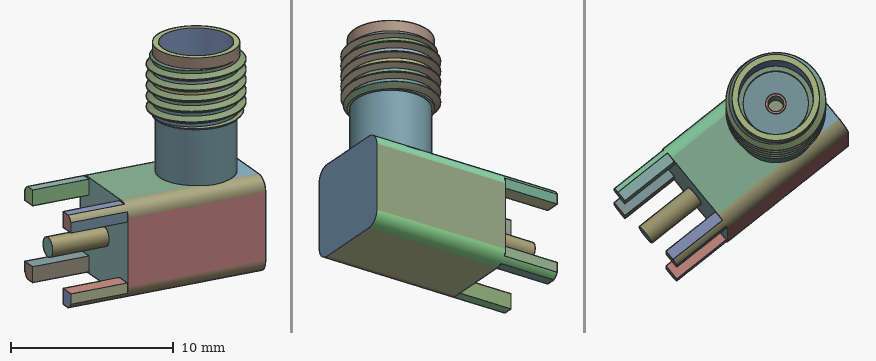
import cadquery as cq

housing_side = 6.35
housing_length = 9.55
corner_radius = 0.89
back_y = housing_side / 2
front_y = back_y - housing_length

overall_depth = 13.46
pin_length = overall_depth - housing_length
leg_side = 1.05
leg_inset = 0.1
solder_pin_diameter = 1.3

barrel_top = 14.86
neck_diameter = 5.05
barrel_diameter = 5.38
thread_bottom = 10.1
thread_top = 14.13

thread_diameter = 6.15
thread_pitch = 0.703
thread_root_width = 0.5
thread_crest_width = 0.06
thread_overlap = 0.06
thread_turns = 7.4
envelope_margin = 0.07
helix_start = 9.4

bore_diameter = 4.62
bore_depth = 1.95
insulator_diameter = 4.01
insulator_recess = 0.2
contact_diameter = 1.26
contact_recess = 0.07
contact_hole_diameter = 0.98
contact_hole_depth = 1.49


def cylinder(diameter, bottom, top):
    """Cylinder on the barrel axis between two heights."""
    return cq.Workplane("XY").workplane(offset=bottom).circle(diameter / 2).extrude(top - bottom)


def rounded_bar(start_y, length):
    """Square bar with rounded long edges, running from start_y toward -Y."""
    return (
        cq.Workplane("XZ", origin=(0, start_y, housing_side / 2))
        .rect(housing_side, housing_side)
        .extrude(length)
        .edges("|Y")
        .fillet(corner_radius)
    )


def make_pins():
    """Four corner legs trimmed by the housing rounding, and the round solder pin."""
    face = cq.Workplane("XZ", origin=(0, front_y, housing_side / 2))
    spacing = housing_side - 2 * leg_inset - leg_side
    legs = (
        face.rect(spacing, spacing, forConstruction=True)
        .vertices()
        .rect(leg_side, leg_side)
        .extrude(pin_length)
        .intersect(rounded_bar(front_y, pin_length))
    )
    solder_pin = face.circle(solder_pin_diameter / 2).extrude(pin_length)
    return legs, solder_pin


def make_thread():
    """Helical ridge, chamfered at 45 degrees at both ends of the threaded range."""
    root_radius = barrel_diameter / 2
    crest_radius = thread_diameter / 2
    foot_radius = root_radius - thread_overlap
    flank_run = (thread_root_width - thread_crest_width) / 2
    flank_slope = flank_run / (crest_radius - root_radius)
    half_foot = thread_root_width / 2 + flank_slope * thread_overlap
    half_crest = thread_crest_width / 2

    path = cq.Wire.makeHelix(
        thread_pitch, thread_turns * thread_pitch, root_radius, center=cq.Vector(0, 0, helix_start)
    )
    ridge = (
        cq.Workplane("XZ", origin=(0, 0, helix_start))
        .moveTo(foot_radius, -half_foot)
        .lineTo(crest_radius, -half_crest)
        .lineTo(crest_radius, half_crest)
        .lineTo(foot_radius, half_foot)
        .close()
        .sweep(cq.Workplane(obj=path), isFrenet=True)
    )
    end_chamfer = crest_radius - root_radius
    envelope = cylinder(thread_diameter + 2 * envelope_margin, thread_bottom, thread_top)
    envelope = envelope.faces("<Z or >Z").chamfer(end_chamfer + envelope_margin)
    return ridge.intersect(envelope)


def make_barrel():
    """Plain neck and the wider threaded end."""
    neck = cylinder(neck_diameter, housing_side / 2, thread_bottom)
    threaded_end = cylinder(barrel_diameter, thread_bottom, barrel_top)
    return neck.union(threaded_end).union(make_thread())


def make_socket():
    """Stepped cavity: main bore, insulator recess, contact step and contact hole."""
    bore_floor = barrel_top - bore_depth
    insulator_face = bore_floor - insulator_recess
    contact_face = insulator_face - contact_recess
    hole_floor = contact_face - contact_hole_depth
    return (
        cylinder(bore_diameter, bore_floor, barrel_top)
        .union(cylinder(insulator_diameter, insulator_face, bore_floor))
        .union(cylinder(contact_diameter, contact_face, insulator_face))
        .union(cylinder(contact_hole_diameter, hole_floor, contact_face))
    )


legs, solder_pin = make_pins()
result = (
    rounded_bar(back_y, housing_length)
    .union(legs)
    .union(solder_pin)
    .union(make_barrel())
    .cut(make_socket())
)